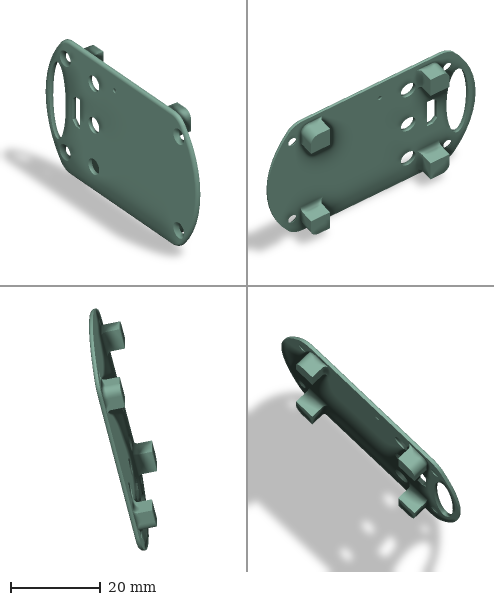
import cadquery as cq
import math

length = 56.05
height = 34.65
depth = 5.15
thickness = 1.0
end_radius = 24.3
corner_radius = 4.8
rim_radius = 0.7

screw_xs = (-20.4, 21.4)
screw_z = 12.3
screw_diameter = 2.2
countersink_diameter = 4.0
countersink_angle = 90.0

opening_x = -9.85
opening_pitch = 10.85
opening_diameter = 4.0
pilot_x = -2.2
pilot_z = 12.8
pilot_diameter = 1.2

window_x = -23.15
window_half_width = 2.95
window_half_height = 10.05

slot_x = -16.3
slot_z = 0.35
slot_width = 2.75
slot_height = 7.7
slot_chamfer = 1.2

boss_size = 5.1
boss_center_x = 0.5
boss_center_z = -0.05
boss_outer_half_x = 18.65
boss_outer_half_z = 15.85
boss_corner_radius = 2.1
boss_foot_radius = 1.0

front_y = -depth / 2
back_y = front_y + thickness


def plane_at(y):
    """XZ plane at the given y whose normal points toward +Y, with local y along -Z."""
    return cq.Workplane(cq.Plane(origin=(0, y, 0), xDir=(1, 0, 0), normal=(0, 1, 0)))


def make_plate():
    half_length = length / 2
    half_height = height / 2
    end_center_x = half_length - end_radius
    edge_x = end_center_x + math.sqrt(end_radius**2 - half_height**2)
    plate = (
        plane_at(front_y)
        .moveTo(-edge_x, -half_height)
        .lineTo(edge_x, -half_height)
        .threePointArc((half_length, 0), (edge_x, half_height))
        .lineTo(-edge_x, half_height)
        .threePointArc((-half_length, 0), (-edge_x, -half_height))
        .close()
        .extrude(thickness)
    )
    plate = plate.edges("|Y").fillet(corner_radius)
    return plate.faces("<Y").edges().fillet(rim_radius)


def make_boss(side_x, side_z):
    """Boss in the corner given by the signs side_x and side_z."""
    center_x = boss_center_x + side_x * (boss_outer_half_x - boss_size / 2)
    center_z = boss_center_z + side_z * (boss_outer_half_z - boss_size / 2)
    outer_x = ">X" if side_x > 0 else "<X"
    outer_z = ">Z" if side_z > 0 else "<Z"
    post = plane_at(back_y).center(center_x, -center_z).rect(boss_size, boss_size).extrude(depth - thickness)
    post = post.faces(outer_x).edges(outer_z).fillet(boss_corner_radius)

    foot_size = boss_size + boss_foot_radius
    foot = (
        plane_at(back_y)
        .center(center_x - side_x * boss_foot_radius / 2, -(center_z - side_z * boss_foot_radius / 2))
        .rect(foot_size, foot_size)
        .extrude(boss_foot_radius)
    )
    foot = foot.faces(outer_x).edges(outer_z).fillet(boss_corner_radius)
    round_y = back_y + boss_foot_radius
    round_x = center_x - side_x * (boss_size / 2 + boss_foot_radius)
    round_z = center_z - side_z * (boss_size / 2 + boss_foot_radius)
    groove_z = (
        cq.Workplane("XY", origin=(round_x, round_y, center_z))
        .circle(boss_foot_radius)
        .extrude(foot_size, both=True)
    )
    groove_x = (
        cq.Workplane("YZ", origin=(center_x, round_y, round_z))
        .circle(boss_foot_radius)
        .extrude(foot_size, both=True)
    )
    return post.union(foot.cut(groove_z).cut(groove_x))


def make_screw_hole(x, z):
    hole_radius = screw_diameter / 2
    mouth_radius = countersink_diameter / 2
    cone_depth = (mouth_radius - hole_radius) / math.tan(math.radians(countersink_angle / 2))
    axis_start = cq.Vector(x, front_y, z)
    toward_back = cq.Vector(0, 1, 0)
    cone = cq.Solid.makeCone(mouth_radius, hole_radius, cone_depth, axis_start, toward_back)
    shank = cq.Solid.makeCylinder(hole_radius, thickness, axis_start, toward_back)
    return cq.Workplane(cone).union(cq.Workplane(shank))


def make_round_hole(x, z, diameter):
    return plane_at(front_y).center(x, -z).circle(diameter / 2).extrude(thickness)


def make_window():
    return plane_at(front_y).center(window_x, 0).ellipse(window_half_width, window_half_height).extrude(thickness)


def make_slot():
    slot = plane_at(front_y).center(slot_x, -slot_z).rect(slot_width, slot_height).extrude(thickness)
    return slot.faces("<X").edges("|Y").chamfer(slot_chamfer)


result = make_plate()
for side_x in (-1, 1):
    for side_z in (-1, 1):
        result = result.union(make_boss(side_x, side_z))
for x in screw_xs:
    for z in (-screw_z, screw_z):
        result = result.cut(make_screw_hole(x, z))
for row in (-1, 0, 1):
    result = result.cut(make_round_hole(opening_x, row * opening_pitch, opening_diameter))
result = result.cut(make_round_hole(pilot_x, pilot_z, pilot_diameter))
result = result.cut(make_window())
result = result.cut(make_slot())